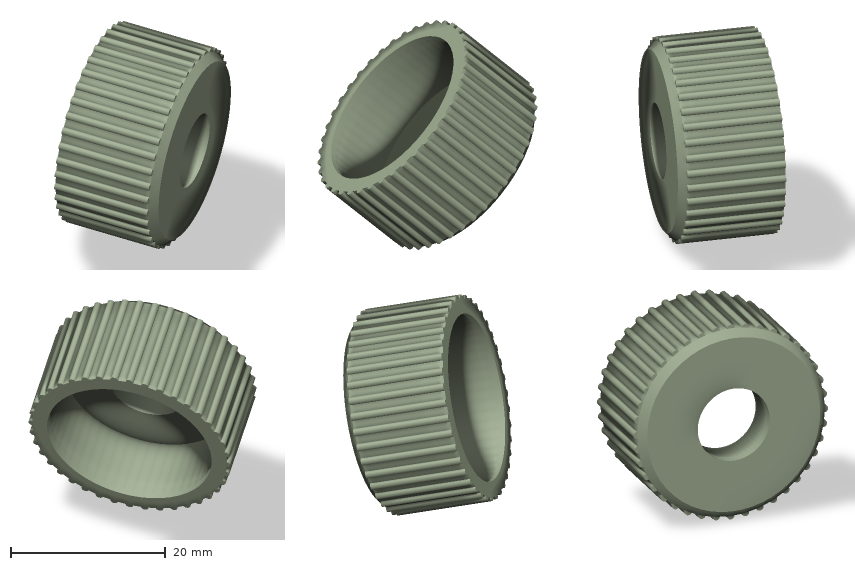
import cadquery as cq

OUTER_DIAMETER = 27.0
BODY_DIAMETER = 26.0
LENGTH = 14.0
CHAMFER = 1.0
BORE_DIAMETER = 22.0
HOLE_DIAMETER = 10.0
FLOOR_THICKNESS = 5.0
RIB_COUNT = 40

body_radius = BODY_DIAMETER / 2
rib_radius = (OUTER_DIAMETER - BODY_DIAMETER) / 2
rib_length = LENGTH - CHAMFER
bore_depth = LENGTH - FLOOR_THICKNESS


def cylinder(diameter, length):
    """Solid cylinder along +X starting at X = 0."""
    return cq.Workplane("YZ").circle(diameter / 2).extrude(length)


def grip_ribs():
    """Round ribs centred on the body surface, the first one on +Y."""
    return (
        cq.Workplane("YZ")
        .polarArray(body_radius, 0, 360, RIB_COUNT)
        .circle(rib_radius)
        .extrude(rib_length)
    )


body = cylinder(BODY_DIAMETER, LENGTH).faces(">X").edges().chamfer(CHAMFER)

wheel = body.union(grip_ribs())

result = wheel.cut(cylinder(BORE_DIAMETER, bore_depth)).cut(cylinder(HOLE_DIAMETER, LENGTH))